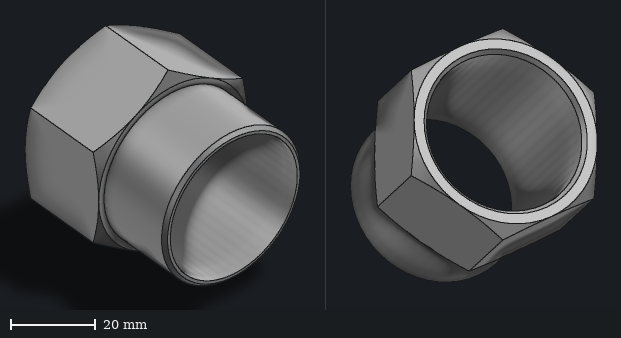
import cadquery as cq
import math

total_length = 49.25
hex_length = 27.1
hex_across_corners = 53.1
hex_across_flats = hex_across_corners * math.cos(math.radians(30))
hex_chamfer_angle = 30.0
spigot_diameter = 42.7
spigot_chamfer = 1.0
bore_diameter = 38.95
bore_chamfer = 1.0


def chamfered_hexagon():
    """Hexagon with corners on +Z and -Z, both ends turned to a cone."""
    flat_radius = hex_across_flats / 2
    corner_radius = hex_across_corners / 2
    cone_length = (corner_radius - flat_radius) * math.tan(math.radians(hex_chamfer_angle))
    prism = (
        cq.Workplane("YZ")
        .transformed(rotate=(0, 0, 90))
        .polygon(6, hex_across_corners)
        .extrude(hex_length)
    )
    turned_envelope = (
        cq.Workplane("XY")
        .polyline([
            (0, 0),
            (0, flat_radius),
            (cone_length, corner_radius),
            (hex_length - cone_length, corner_radius),
            (hex_length, flat_radius),
            (hex_length, 0),
        ])
        .close()
        .revolve(360, (0, 0, 0), (1, 0, 0))
    )
    return prism.intersect(turned_envelope)


def spigot():
    """Round end with a chamfered outer rim."""
    return (
        cq.Workplane("YZ")
        .circle(spigot_diameter / 2)
        .extrude(total_length)
        .faces(">X")
        .chamfer(spigot_chamfer)
    )


def bore():
    """Through bore, countersunk at the hexagon end."""
    bore_radius = bore_diameter / 2
    return (
        cq.Workplane("XY")
        .polyline([
            (0, 0),
            (0, bore_radius + bore_chamfer),
            (bore_chamfer, bore_radius),
            (total_length, bore_radius),
            (total_length, 0),
        ])
        .close()
        .revolve(360, (0, 0, 0), (1, 0, 0))
    )


result = chamfered_hexagon().union(spigot()).cut(bore())